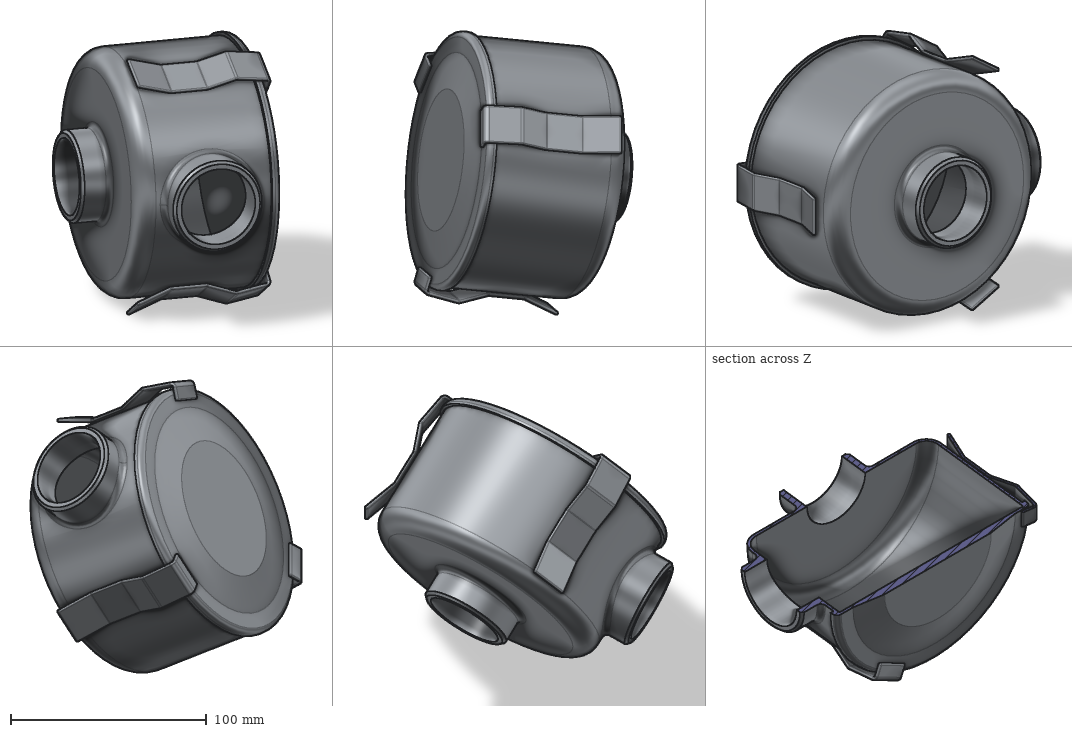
import cadquery as cq
import math


can_radius = 64.8
wall = 2.0
floor_round = 10.0

rim_radius = 66.5
rim_base_y = 72.3
rim_top_y = 77.0
rim_round = 3.0
dome_base_radius = 55.5
dome_top_radius = 36.5
dome_top_y = 80.0

nozzle_radius = 24.0
bore_radius = 19.9
nozzle_chamfer = 1.5
neck_round = 3.0
floor_nozzle_length = 16.0
side_nozzle_end_x = 78.0
side_nozzle_y = 39.2

strip_thickness = 1.8
strip_width = 20.0
bend_radius = 2.0
clip_angles = (60, 180, 300)

half_strip = strip_thickness / 2
grip_radius = can_radius + half_strip
arc_step = math.sqrt(0.5)

clip_line = [
    (59.9, 78.2),
    (68.0, 79.2),
    (71.1, 60.7),
    (grip_radius, 45.7),
    (grip_radius, 26.1),
    (72.0, 7.8),
]


def make_shell():
    """Can with floor nozzle and lid, revolved as one solid about the Y axis."""
    floor_round_centre = can_radius - floor_round
    rim_round_x = rim_radius - rim_round
    return (
        cq.Workplane("XY")
        .moveTo(0, -floor_nozzle_length)
        .lineTo(nozzle_radius - nozzle_chamfer, -floor_nozzle_length)
        .lineTo(nozzle_radius, nozzle_chamfer - floor_nozzle_length)
        .lineTo(nozzle_radius, -neck_round)
        .threePointArc(
            (nozzle_radius + neck_round * (1 - arc_step), -neck_round * (1 - arc_step)),
            (nozzle_radius + neck_round, 0),
        )
        .lineTo(floor_round_centre, 0)
        .threePointArc(
            (floor_round_centre + floor_round * arc_step, floor_round * (1 - arc_step)),
            (can_radius, floor_round),
        )
        .lineTo(can_radius, rim_base_y)
        .lineTo(rim_radius, rim_base_y)
        .lineTo(rim_radius, rim_top_y - rim_round)
        .threePointArc(
            (rim_round_x + rim_round * arc_step, rim_top_y - rim_round * (1 - arc_step)),
            (rim_round_x, rim_top_y),
        )
        .lineTo(dome_base_radius, rim_top_y)
        .lineTo(dome_top_radius, dome_top_y)
        .lineTo(0, dome_top_y)
        .close()
        .revolve(360, (0, 0, 0), (0, 1, 0))
    )


def make_side_nozzle():
    """Chamfered tube stub along +X, starting inside the can."""
    start_x = can_radius / 2
    return (
        cq.Workplane("YZ", origin=(start_x, side_nozzle_y, 0))
        .circle(nozzle_radius)
        .extrude(side_nozzle_end_x - start_x)
        .faces(">X")
        .chamfer(nozzle_chamfer)
    )


def make_cavity():
    """Inside of the can, one wall thickness in from floor, side and lid rim."""
    return (
        cq.Workplane("XZ", origin=(0, wall, 0))
        .circle(can_radius - wall)
        .extrude(-(rim_top_y - 2 * wall))
        .faces("<Y")
        .edges()
        .fillet(floor_round - wall)
    )


def make_housing():
    """Hollow can with both nozzles open to the cavity."""
    body = make_shell().union(make_side_nozzle())

    neck_margin = 1.5
    neck_reach = nozzle_radius + neck_margin
    neck_box = cq.selectors.BoxSelector(
        (can_radius / 2, side_nozzle_y - neck_reach, -neck_reach),
        (can_radius + neck_margin, side_nozzle_y + neck_reach, neck_reach),
        boundingbox=True,
    )
    body = body.edges(neck_box).fillet(neck_round)

    floor_bore = cq.Workplane("XZ", origin=(0, -floor_nozzle_length, 0)).circle(bore_radius)
    floor_bore = floor_bore.extrude(-(floor_nozzle_length + 2 * wall))
    side_bore = cq.Workplane("YZ", origin=(0, side_nozzle_y, 0)).circle(bore_radius)
    side_bore = side_bore.extrude(side_nozzle_end_x)
    return body.cut(make_cavity()).cut(floor_bore).cut(side_bore).solids()


def make_tip(radius, y):
    """Full-round bar with ball ends, as long as the strip is wide, closing one end of a strip."""
    straight_width = strip_width - strip_thickness
    return (
        cq.Workplane("XZ", origin=(radius, y, 0))
        .moveTo(0, -strip_width / 2)
        .threePointArc(
            (half_strip * arc_step, -straight_width / 2 - half_strip * arc_step),
            (half_strip, -straight_width / 2),
        )
        .lineTo(half_strip, straight_width / 2)
        .threePointArc(
            (half_strip * arc_step, straight_width / 2 + half_strip * arc_step),
            (0, strip_width / 2),
        )
        .close()
        .revolve(360, (0, 0, 0), (0, 1, 0))
    )


def make_clip(angle):
    """Bent strip with full-round edges and ends, turned about the Y axis to the given angle."""
    middle = cq.Wire.makePolygon([cq.Vector(radius, y, 0) for radius, y in clip_line])
    middle = middle.fillet(bend_radius)
    section_plane = cq.Plane(middle.startPoint(), xDir=(0, 0, 1), normal=middle.tangentAt(0))
    strip = (
        cq.Workplane(section_plane)
        .slot2D(strip_width, strip_thickness)
        .sweep(cq.Workplane(middle))
        .union(make_tip(*clip_line[0]))
        .union(make_tip(*clip_line[-1]))
    )
    return strip.rotate((0, 0, 0), (0, 1, 0), angle).solids()


housing = make_housing()
clips = [make_clip(angle).val() for angle in clip_angles]

result = cq.Compound.makeCompound([housing.val(), *clips])